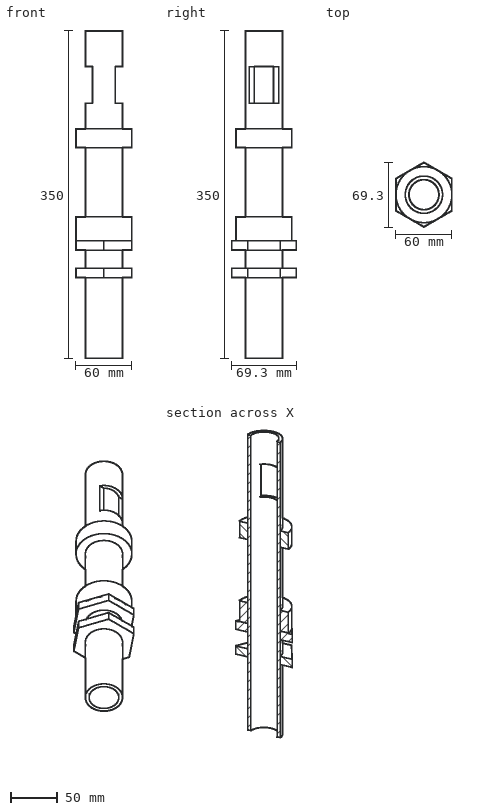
import cadquery as cq

tube_length = 350.0
tube_diameter = 40.0
bore_diameter = 32.0

window_bottom = 273.0
window_height = 39.0
width_across_flats = 24.5

collar_diameter = 60.0
upper_collar_bottom = 225.5
upper_collar_height = 20.0
lower_collar_height = 25.2
nut_width = collar_diameter
nut_thickness = 10.0
lower_nut_bottom = 86.5
upper_nut_bottom = 116.0
lower_collar_bottom = upper_nut_bottom + nut_thickness


def make_tube():
    """Hollow tube with a flat cut on the -X and +X sides that opens into the bore."""
    tube = (
        cq.Workplane("XY")
        .circle(tube_diameter / 2)
        .circle(bore_diameter / 2)
        .extrude(tube_length)
    )
    cutter_size = tube_diameter
    cutter_offset = (width_across_flats + cutter_size) / 2
    cutters = (
        cq.Workplane("XY", origin=(0, 0, window_bottom))
        .pushPoints([(-cutter_offset, 0), (cutter_offset, 0)])
        .rect(cutter_size, cutter_size)
        .extrude(window_height)
    )
    return tube.cut(cutters)


def make_collar(bottom, height):
    """Round collar that fits on the outside of the tube."""
    return (
        cq.Workplane("XY", origin=(0, 0, bottom))
        .circle(collar_diameter / 2)
        .circle(tube_diameter / 2)
        .extrude(height)
    )


def make_nut(bottom):
    """Hexagonal nut with flats facing -X and +X and corners on the Y axis."""
    return (
        cq.Workplane("XY", origin=(0, 0, bottom))
        .polygon(6, nut_width, circumscribed=True)
        .circle(tube_diameter / 2)
        .extrude(nut_thickness)
    )


tube = make_tube()
upper_collar = make_collar(upper_collar_bottom, upper_collar_height)
lower_collar = make_collar(lower_collar_bottom, lower_collar_height)
nuts = [make_nut(bottom) for bottom in (lower_nut_bottom, upper_nut_bottom)]

result = cq.Compound.makeCompound(
    [tube.val(), upper_collar.val(), lower_collar.val(), *[nut.val() for nut in nuts]]
)